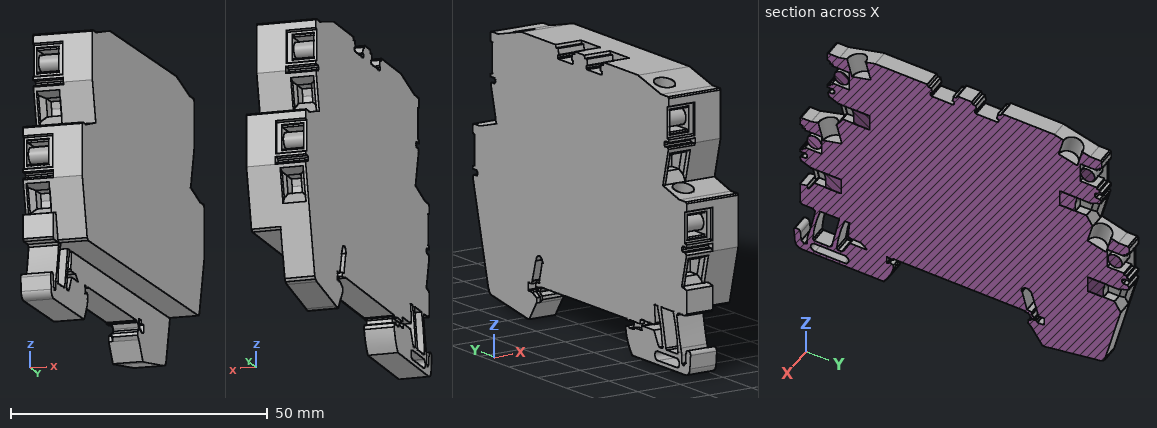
import cadquery as cq
import math

TOTAL_WIDTH = 12.2
CLIP_WIDTH = 6.2
TOP_Z = 57.24
BASE_Z = 12.3
RAIL_Z = 7.36

FLANK_TILT = 14.3
FLANK_SLOPE = math.tan(math.radians(FLANK_TILT))

CROWN_HALF = 20.2
UPPER_LEDGE_HALF = 28.25
UPPER_HALF = 31.0
UPPER_SHOULDER_Z = 55.1
UPPER_FLANK_Z = 45.1
LOWER_LEDGE_HALF = 34.6
LOWER_HALF = 37.15
LOWER_SHOULDER_Z = 35.25
LOWER_FLANK_Z = 24.6
NOTCH_Z = 36.9
NOTCH_HALF = UPPER_HALF - (UPPER_FLANK_Z - NOTCH_Z) * FLANK_SLOPE
TIER_PITCH = UPPER_SHOULDER_Z - LOWER_SHOULDER_Z
SHOULDER_CHAMFER = 0.3


def prism(points, x_start, x_end):
    """Straight-sided prism along X from (y, z) points."""
    outline = cq.Workplane("YZ").workplane(offset=x_start).polyline(points).close()
    return outline.extrude(x_end - x_start)


def flank_y(z, half_width, flank_z):
    """Half-width of a tilted flank at height z."""
    return half_width - (flank_z - z) * FLANK_SLOPE


def tier_side(side):
    """Corners of one side of the tiers from the crown down, side = +1 or -1 along Y."""
    corners = [
        (CROWN_HALF, TOP_Z),
        (UPPER_LEDGE_HALF, UPPER_SHOULDER_Z),
        (UPPER_HALF - SHOULDER_CHAMFER, UPPER_SHOULDER_Z),
        (UPPER_HALF, UPPER_SHOULDER_Z - SHOULDER_CHAMFER),
        (UPPER_HALF, UPPER_FLANK_Z),
        (NOTCH_HALF, NOTCH_Z),
        (LOWER_LEDGE_HALF, LOWER_SHOULDER_Z),
        (LOWER_HALF - SHOULDER_CHAMFER, LOWER_SHOULDER_Z),
        (LOWER_HALF, LOWER_SHOULDER_Z - SHOULDER_CHAMFER),
        (LOWER_HALF, LOWER_FLANK_Z),
    ]
    return [(side * y, z) for y, z in corners]


def plain_half():
    """Half without rail fixings."""
    edge_break = 0.45
    base_half = flank_y(BASE_Z, LOWER_HALF, LOWER_FLANK_Z)
    base_side = [
        (flank_y(BASE_Z + edge_break, LOWER_HALF, LOWER_FLANK_Z), BASE_Z + edge_break),
        (base_half - edge_break, BASE_Z),
    ]
    left = tier_side(1) + base_side
    right = tier_side(-1) + [(-y, z) for y, z in base_side]
    return prism(left + right[::-1], CLIP_WIDTH, TOTAL_WIDTH)


def rail_half():
    """Half with the fixed rail hook on +Y and the latch tab on -Y."""
    tab_root_z = 17.95
    tab_top_z = 17.55
    tab_break = 0.45
    heel_z = 2.9
    hook = [
        (flank_y(heel_z, LOWER_HALF, LOWER_FLANK_Z), heel_z),
        (31.2, 2.35),
        (30.5, 2.05),
        (19.0, 0.15),
        (18.4, 0.0),
        (17.5, 0.0),
        (14.95, 3.85),
        (14.95, 4.9),
        (16.4, 5.71),
        (17.7, 5.71),
        (17.9, 5.9),
        (17.9, RAIL_Z),
        (16.6, RAIL_Z),
        (16.42, 8.04),
        (15.2, 8.04),
        (15.2, 7.1),
        (13.7, 7.1),
        (13.5, RAIL_Z),
    ]
    latch_side = [
        (-16.1, RAIL_Z),
        (-16.1, 7.12),
        (-17.4, 7.12),
        (-17.4, RAIL_Z),
        (-21.1, RAIL_Z),
        (-21.1, 8.1),
        (-21.3, 8.28),
        (-26.0, 8.28),
        (-26.3, 8.7),
        (-26.0, BASE_Z),
        (-LOWER_HALF + tab_break, BASE_Z),
        (-LOWER_HALF, BASE_Z + tab_break),
        (-LOWER_HALF, tab_top_z),
        (-flank_y(tab_root_z, LOWER_HALF, LOWER_FLANK_Z), tab_root_z),
    ]
    return prism(tier_side(1) + hook + latch_side + tier_side(-1)[::-1], 0, CLIP_WIDTH)


WEB_START = 0.9


def hook_web():
    """Set-back rib that closes the rail hook and forms its tip."""
    outline = [
        (15.2, 7.2), (14.2, 7.2), (14.9, 6.3), (15.15, 5.9), (14.3, 5.25), (14.25, 4.55),
        (14.95, 3.85), (16.0, 4.5), (16.45, 5.75), (16.2, 6.15), (15.65, 5.95), (15.7, 6.5),
    ]
    return prism(outline, WEB_START, CLIP_WIDTH)


def latch_web():
    """Set-back rib between the rail face and the latch foot."""
    outline = [
        (-17.55, RAIL_Z + 0.2), (-17.55, 5.5), (-21.8, 5.5), (-21.8, 7.0), (-23.5, 8.3), (-21.0, 8.5),
    ]
    return prism(outline, WEB_START, CLIP_WIDTH)


def spring_slot():
    """Tilted slot above the hook, deeper where the plain half lies behind it."""
    floor_thickness = 0.5
    slot = prism([(16.46, 7.9), (15.2, BASE_Z), (13.0, BASE_Z), (14.1, 8.04), (15.2, 7.9)],
                 0, CLIP_WIDTH - floor_thickness)
    dome = (
        cq.Workplane("YZ").moveTo(15.1, BASE_Z).threePointArc((13.95, 13.5), (12.85, BASE_Z)).close()
        .extrude(CLIP_WIDTH)
    )
    return slot.union(dome)


FOOT_Z = 0.39
LEAF_BOTTOM_Z = 4.07
LIP_END = 38.55
LIP_ROUND_Z = 4.8
LIP_INNER = 36.95
LIP_TOP_Z = 5.5


def latch_foot():
    """Sprung foot hanging from the rail half on two leaves, with a pull lip on -Y."""
    foot = (
        cq.Workplane("YZ")
        .moveTo(-27.0, BASE_Z)
        .threePointArc((-28.15, 8.3), (-28.8, 4.4))
        .lineTo(-28.5, LEAF_BOTTOM_Z)
        .lineTo(-27.65, LEAF_BOTTOM_Z)
        .lineTo(-27.2, 4.6)
        .lineTo(-25.85, 7.12)
        .lineTo(-21.57, 7.12)
        .lineTo(-21.57, 6.17)
        .lineTo(-19.05, 6.17)
        .lineTo(-18.7, 5.74)
        .lineTo(-17.3, 5.74)
        .lineTo(-16.85, 6.17)
        .lineTo(-16.0, 5.8)
        .lineTo(-15.97, 5.0)
        .threePointArc((-16.75, 2.75), (-18.25, FOOT_Z))
        .lineTo(-36.8, FOOT_Z)
        .threePointArc((-37.85, 0.9), (-38.3, 2.0))
        .lineTo(-LIP_END, LIP_ROUND_Z)
        .threePointArc((-(LIP_END + LIP_INNER) / 2, LIP_TOP_Z), (-LIP_INNER, LIP_ROUND_Z))
        .lineTo(-36.75, 2.8)
        .lineTo(-36.1, 2.2)
        .lineTo(-35.55, 2.5)
        .lineTo(-35.5, 4.2)
        .lineTo(-35.15, 5.55)
        .threePointArc((-34.4, 8.5), (-33.75, 11.8))
        .lineTo(-34.2, BASE_Z)
        .close()
        .extrude(CLIP_WIDTH)
    )
    leaf_window = (
        cq.Workplane("YZ")
        .moveTo(-28.3, BASE_Z)
        .lineTo(-30.0, 4.4)
        .lineTo(-30.3, LEAF_BOTTOM_Z)
        .lineTo(-33.9, LEAF_BOTTOM_Z)
        .lineTo(-34.15, 4.4)
        .threePointArc((-33.6, 8.4), (-32.5, BASE_Z))
        .close()
        .extrude(CLIP_WIDTH)
    )
    return foot.cut(leaf_window).cut(grip_pocket())


def grip_pocket():
    """Blind obround pocket in the -X face of the foot."""
    length = 8.5
    height = 1.85
    depth = 4.0
    middle = (-30.4, 2.23)
    return cq.Workplane("YZ").center(*middle).slot2D(length, height).extrude(depth)


SHAFT_WIDTH = 6.0
SHAFT_OFFSET = 5.0
SLOT_RIM_HALF = 3.35
SLOT_STEP_HALF = 3.1
SLOT_STEP_DEPTH = 0.6


def bridge_shaft(y_middle):
    """Undercut pocket in the crown, open to the -X face."""
    side = [
        (SLOT_RIM_HALF, TOP_Z), (SLOT_STEP_HALF, TOP_Z - SLOT_STEP_DEPTH), (2.45, TOP_Z - SLOT_STEP_DEPTH),
        (2.2, 55.45), (2.65, 55.2), (2.65, 54.8), (2.4, 54.55),
    ]
    left = [(y_middle + y, z) for y, z in side]
    right = [(y_middle - y, z) for y, z in side]
    return prism(left + right[::-1], 0, SHAFT_WIDTH)


SCREW_X = 3.45
SCREW_HOLE_DIAMETER = 4.25
SCREW_HOLE_DEPTH = 4.3
UPPER_HOLE_HALF = 24.4
LOWER_HOLE_HALF = 30.9
LEDGE_SLOPE = (TOP_Z - UPPER_SHOULDER_Z) / (UPPER_LEDGE_HALF - CROWN_HALF)
LEDGE_TILT = math.atan(LEDGE_SLOPE)

RECESS_WIDTH = 6.1
WINDOW_X = (0.6, 5.1)
WINDOW_Z = 49.85
WINDOW_MOUTH_HALF = 2.6
WINDOW_THROAT_HALF = 2.2
WINDOW_MOUTH_DEPTH = 1.2
WINDOW_DEPTH = 4.9
BAR_RADIUS = 1.65

GROOVE_OUTLINE = [
    (0, 45.95), (1.3, 45.95), (1.65, 45.6), (1.65, 45.2), (1.35, 44.85), (0.45, 44.85), (0, 44.4),
]

FUNNEL_X = (0.6, 5.3)
FUNNEL_TOP = 43.65
FUNNEL_BOTTOM = 36.9
THROAT_X = (1.8, 4.75)
THROAT_TOP = 42.7
THROAT_BOTTOM = 39.2
FUNNEL_DEPTH = 2.0
TAPER_START = 0.55
CLAMP_EDGE_Z = 41.3
CLAMP_DEPTH = 3.0
CLAMP_SETBACK = 3.0


def screw_hole(y, z):
    """Round hole square to the ledge face through (y, z)."""
    outward = cq.Vector(0, -math.sin(LEDGE_TILT), math.cos(LEDGE_TILT))
    mouth = cq.Vector(SCREW_X, y, z)
    start = mouth - outward * SCREW_HOLE_DEPTH
    return cq.Workplane(obj=cq.Solid.makeCylinder(
        SCREW_HOLE_DIAMETER / 2, 2 * SCREW_HOLE_DEPTH, start, outward))


def symmetric_pocket(face, z_middle, x_range, side):
    """Pocket into a -Y side face, symmetric about z_middle, from (depth, half-height) corners."""
    upper = [(face + depth, z_middle + half) for depth, half in side]
    lower = [(face + depth, z_middle - half) for depth, half in side]
    return prism(upper + lower[::-1], *x_range)


def ring(x_range, z_range, half_width, flank_z, setback):
    """Rectangular wire parallel to a tilted flank on the -Y side."""
    corners = [(x_range[0], z_range[0]), (x_range[1], z_range[0]),
               (x_range[1], z_range[1]), (x_range[0], z_range[1])]
    points = [cq.Vector(x, setback - flank_y(z, half_width, flank_z), z) for x, z in corners]
    return cq.Wire.makePolygon(points, close=True)


def window_cuts(face, drop):
    """Stepped recess with the window for the contact bar, and the groove below it."""
    recess = symmetric_pocket(face, WINDOW_Z - drop, (0, RECESS_WIDTH),
                              [(0, SLOT_RIM_HALF), (SLOT_STEP_DEPTH, SLOT_STEP_HALF)])
    window = symmetric_pocket(face, WINDOW_Z - drop, WINDOW_X, [
        (0, WINDOW_MOUTH_HALF), (WINDOW_MOUTH_DEPTH, WINDOW_MOUTH_HALF),
        (WINDOW_MOUTH_DEPTH, WINDOW_THROAT_HALF), (WINDOW_DEPTH, WINDOW_THROAT_HALF),
    ])
    groove = prism([(face + depth, z - drop) for depth, z in GROOVE_OUTLINE], 0, CLIP_WIDTH)
    return [recess, window, groove]


def contact_bar(face, drop):
    """Round bar lying along X on the floor of the window."""
    bar = cq.Workplane("YZ").workplane(offset=WINDOW_X[0])
    bar = bar.center(face + WINDOW_DEPTH - BAR_RADIUS, WINDOW_Z - drop).circle(BAR_RADIUS)
    return bar.extrude(WINDOW_X[1] - WINDOW_X[0])


def wire_funnel(half_width, flank_z, drop):
    """Wire entry in the tilted flank: straight sides first, then tapering to the throat."""
    waist_z = [outer + TAPER_START * (inner - outer) - drop for outer, inner in
               ((FUNNEL_BOTTOM, THROAT_BOTTOM), (FUNNEL_TOP, THROAT_TOP))]
    mouth = ring(FUNNEL_X, (FUNNEL_BOTTOM - drop, FUNNEL_TOP - drop), half_width, flank_z, 0)
    waist = ring(FUNNEL_X, waist_z, half_width, flank_z, TAPER_START * FUNNEL_DEPTH)
    throat = ring(THROAT_X, (THROAT_BOTTOM - drop, THROAT_TOP - drop), half_width, flank_z, FUNNEL_DEPTH)
    return cq.Workplane(obj=cq.Solid.makeLoft([mouth, waist, throat], True))


def throat_and_clamp(half_width, flank_z, drop):
    """Channel behind the funnel, and the clamp block that fills its far end."""
    bottom = THROAT_BOTTOM - drop
    top = THROAT_TOP - drop
    edge = CLAMP_EDGE_Z - drop

    def throat_y(z):
        return FUNNEL_DEPTH - flank_y(z, half_width, flank_z)

    front_y = throat_y(edge) + CLAMP_SETBACK
    back_y = throat_y(bottom) + CLAMP_SETBACK + CLAMP_DEPTH
    back = [(back_y, top), (back_y, bottom)]
    channel = prism([(throat_y(bottom), bottom), (throat_y(top), top)] + back, *THROAT_X)
    clamp_front = [(front_y, bottom), (front_y, edge), (throat_y(top) + CLAMP_SETBACK, top)]
    return channel, prism(clamp_front + back, *THROAT_X)


def terminal(half_width, flank_z, drop, hole_half, hole_z):
    """Return (cuts, bar, clamp) of one -Y terminal, lowered by drop."""
    face = -half_width
    channel, clamp = throat_and_clamp(half_width, flank_z, drop)
    funnel = wire_funnel(half_width, flank_z, drop)
    cuts = window_cuts(face, drop) + [funnel, channel, screw_hole(-hole_half, hole_z)]
    return cuts, contact_bar(face, drop), clamp


housing = rail_half().union(plain_half()).union(latch_foot()).union(hook_web()).union(latch_web())
housing = housing.cut(spring_slot())
for shaft_y in (-SHAFT_OFFSET, SHAFT_OFFSET):
    housing = housing.cut(bridge_shaft(shaft_y))

upper_hole_z = TOP_Z - (UPPER_HOLE_HALF - CROWN_HALF) * LEDGE_SLOPE
lower_hole_z = LOWER_SHOULDER_Z + (LOWER_LEDGE_HALF - LOWER_HOLE_HALF) * LEDGE_SLOPE
upper_terminal = terminal(UPPER_HALF, UPPER_FLANK_Z, 0, UPPER_HOLE_HALF, upper_hole_z)
lower_terminal = terminal(LOWER_HALF, LOWER_FLANK_Z, TIER_PITCH, LOWER_HOLE_HALF, lower_hole_z)

bars = []
clamps = []
for cuts, bar, clamp in (upper_terminal, lower_terminal):
    for cut in cuts:
        housing = housing.cut(cut).cut(cut.mirror("XZ"))
    bars += [bar, bar.mirror("XZ")]
    clamps += [clamp, clamp.mirror("XZ")]

result = cq.Compound.makeCompound(
    [housing.val()] + [bar.val() for bar in bars] + [clamp.val() for clamp in clamps]
)